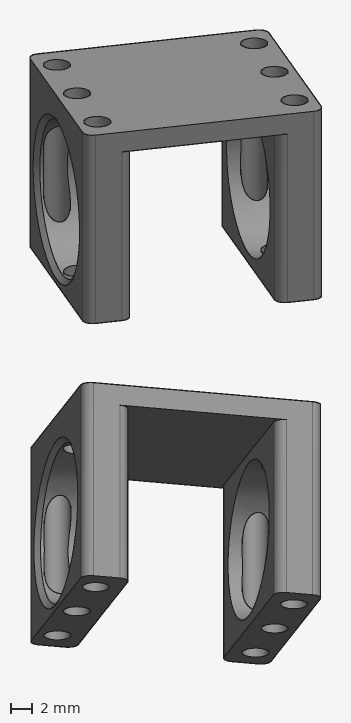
import cadquery as cq

width = 20.0
depth = 23.0
height = 19.0

plate_thickness = 2.0
leg_thickness = 4.5
corner_radius = 1.0

bore_diameter = 15.02
bore_center_height = 8.5
bore_chamfer = 0.5

hole_diameter = 2.5
hole_spacing_x = 7.0
hole_row_distance = 19.0
holes_per_row = 3
hole_rows = 2

leg_height = height - plate_thickness
leg_offset = (depth - leg_thickness) / 2


def rounded_block(block_depth, block_height):
    """Full-width block standing on Z = 0 with rounded vertical edges."""
    block = cq.Workplane("XY").box(width, block_depth, block_height, centered=(True, True, False))
    return block.edges("|Z").fillet(corner_radius)


def bore_chamfer_cone(side):
    """Cone that chamfers the bore at the outer face on the given Y side."""
    bore_radius = bore_diameter / 2
    return cq.Workplane(cq.Solid.makeCone(
        bore_radius + bore_chamfer,
        bore_radius,
        bore_chamfer,
        pnt=cq.Vector(0, side * depth / 2, bore_center_height),
        dir=cq.Vector(0, -side, 0),
    ))


bracket = rounded_block(depth, plate_thickness).translate((0, 0, leg_height))
for side in (-1, 1):
    leg = rounded_block(leg_thickness, height).translate((0, side * leg_offset, 0))
    bracket = bracket.union(leg)

bore = (
    cq.Workplane("XZ")
    .center(0, bore_center_height)
    .circle(bore_diameter / 2)
    .extrude(depth / 2, both=True)
)
bracket = bracket.cut(bore)
for side in (-1, 1):
    bracket = bracket.cut(bore_chamfer_cone(side))

holes = (
    cq.Workplane("XY")
    .rarray(hole_spacing_x, hole_row_distance, holes_per_row, hole_rows)
    .circle(hole_diameter / 2)
    .extrude(height)
)
result = bracket.cut(holes)